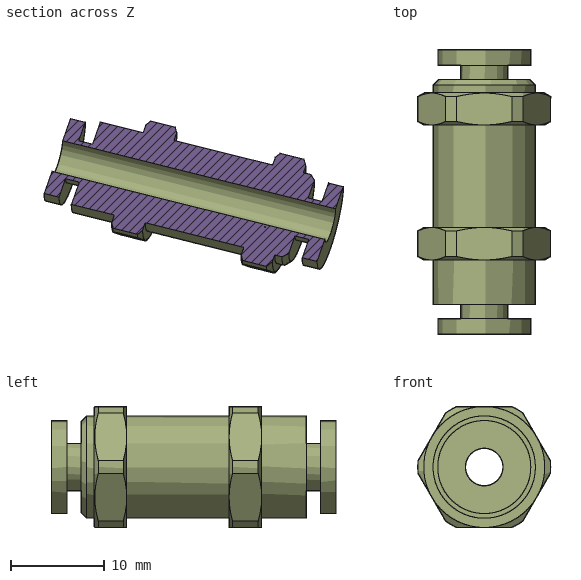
import cadquery as cq
import math

total_length = 30.6
collar_length = 1.7
neck_length = 1.5

collar_diameter = 10.0
neck_diameter = 5.1
body_diameter = 11.0
bore_diameter = 4.0
body_end_chamfer = 0.6

hex_sides = 6
across_flats = 13.0
across_corners = across_flats / math.cos(math.pi / hex_sides)
turned_corner_diameter = 14.29
hex_chamfer_angle = 30.0
hex_length = 3.5

hex_face_diameter = across_flats
nut_back_face_diameter = 12.75

fixed_hex_setback = 4.8
nut_setback = 1.4

fitting_front = -total_length / 2
fitting_back = total_length / 2
body_front = fitting_front + collar_length + neck_length
body_back = fitting_back - collar_length - neck_length
fixed_hex_front = body_front + fixed_hex_setback
nut_front = body_back - nut_setback - hex_length


def make_cylinder(diameter, start, length):
    """Solid cylinder from Y = start; a negative length runs toward -Y."""
    profile = cq.Workplane("XZ", origin=(0, start, 0)).circle(diameter / 2)
    return profile.extrude(-length)


def make_collar_and_neck(outer_end, inward):
    """Release collar and its neck; inward is +1 or -1 along Y, toward the body."""
    collar = make_cylinder(collar_diameter, outer_end, inward * collar_length)
    neck_start = outer_end + inward * collar_length
    neck = make_cylinder(neck_diameter, neck_start, inward * neck_length)
    return collar.union(neck)


def make_body():
    """Cylindrical body with a chamfer on its back end."""
    body = make_cylinder(body_diameter, body_front, body_back - body_front)
    return body.faces(">Y").edges().chamfer(body_end_chamfer)


def make_hexagon(start, front_face_diameter, back_face_diameter):
    """Hexagon with flats facing +Z and -Z, its corners turned round and chamfered at both faces."""
    prism = (
        cq.Workplane("XZ", origin=(0, start, 0))
        .polygon(hex_sides, across_corners)
        .extrude(-hex_length)
    )
    end = start + hex_length
    corner_radius = turned_corner_diameter / 2
    front_radius = front_face_diameter / 2
    back_radius = back_face_diameter / 2
    slope = math.tan(math.radians(hex_chamfer_angle))
    turned_envelope = (
        cq.Workplane("XY")
        .moveTo(0, start)
        .lineTo(front_radius, start)
        .lineTo(corner_radius, start + (corner_radius - front_radius) * slope)
        .lineTo(corner_radius, end - (corner_radius - back_radius) * slope)
        .lineTo(back_radius, end)
        .lineTo(0, end)
        .close()
        .revolve(360, (0, 0, 0), (0, 1, 0))
    )
    return prism.intersect(turned_envelope)


fitting = make_body()
fitting = fitting.union(make_collar_and_neck(fitting_front, 1))
fitting = fitting.union(make_collar_and_neck(fitting_back, -1))
fitting = fitting.union(make_hexagon(fixed_hex_front, hex_face_diameter, hex_face_diameter))
fitting = fitting.union(make_hexagon(nut_front, hex_face_diameter, nut_back_face_diameter))

result = fitting.cut(make_cylinder(bore_diameter, fitting_front, total_length))